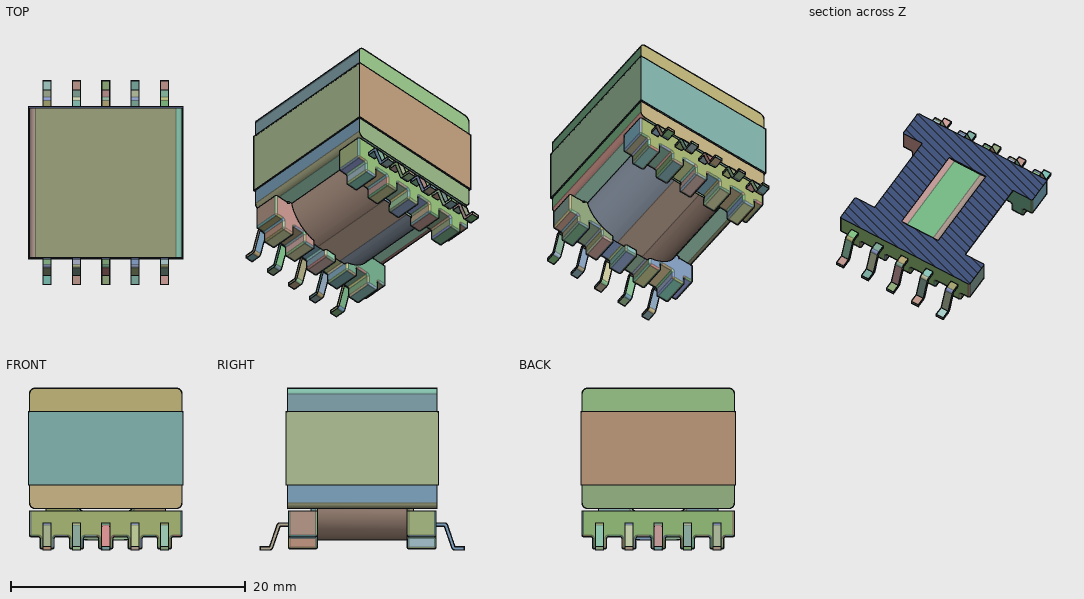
import cadquery as cq
import math

TOTAL_HEIGHT = 13.81
CORE_BOTTOM = 3.53
CORE_WIDTH = 13.0
CORE_DEPTH = 12.75
CORE_EDGE_RADIUS = 0.5
TAPE_WIDTH = 13.2
TAPE_DEPTH = 13.0
TAPE_HEIGHT = 6.25

CORE_HEIGHT = TOTAL_HEIGHT - CORE_BOTTOM
CORE_CENTRE_Z = CORE_BOTTOM + CORE_HEIGHT / 2

RAIL_LENGTH = 13.0
RAIL_INNER_Y = 3.83
RAIL_OUTER_Y = 6.3
RAIL_TOP = 3.34
RAIL_BOTTOM = 1.13
FOOT_BOTTOM = 0.1
FOOT_WIDTH = 1.2
EDGE_RADIUS = 0.15
PIN_COUNT = 5
PIN_PITCH = 2.5
PIN_POSITIONS = [(i - (PIN_COUNT - 1) / 2) * PIN_PITCH for i in range(PIN_COUNT)]

COIL_CENTRE_Z = 4.3
COIL_RADIUS = 3.45
COIL_STRAIGHT = 2.6
BORE_RADIUS = 1.2
BORE_RIM_RADIUS = 0.2
FLANGE_WIDTH = 10.2
FLANGE_OUTER_Y = 4.37
FLANGE_THICKNESS = FLANGE_OUTER_Y - RAIL_INNER_Y
FLANGE_BOTTOM = 2.0

SPAN_Y = 17.39
LEAD_WIDTH = 0.7
LEAD_THICKNESS = 0.3
LEAD_TOP = 2.33
LEAD_SLOPE = 71
LEAD_TOE_LENGTH = 0.79
LEAD_BEND_RADIUS = 0.3
LEAD_HEEL_RADIUS = 0.3
LEAD_ROOT_DEPTH = 0.5


def make_core():
    """Core block with its long edges rounded, and the tape band around its middle."""
    block = (
        cq.Workplane("XY")
        .box(CORE_WIDTH, CORE_DEPTH, CORE_HEIGHT)
        .edges("|Y")
        .fillet(CORE_EDGE_RADIUS)
    )
    tape = cq.Workplane("XY").box(TAPE_WIDTH, TAPE_DEPTH, TAPE_HEIGHT)
    return block.union(tape).translate((0, 0, CORE_CENTRE_Z))


def make_rail():
    """Rail on the -Y side, with every edge rounded except around its top face."""
    half = RAIL_LENGTH / 2
    outline = [(-half, RAIL_TOP), (-half, RAIL_BOTTOM)]
    for x in PIN_POSITIONS:
        left = x - FOOT_WIDTH / 2
        right = x + FOOT_WIDTH / 2
        outline += [(left, RAIL_BOTTOM), (left, FOOT_BOTTOM)]
        outline += [(right, FOOT_BOTTOM), (right, RAIL_BOTTOM)]
    outline += [(half, RAIL_BOTTOM), (half, RAIL_TOP)]
    rail = cq.Workplane("XZ", origin=(0, -RAIL_INNER_Y, 0)).polyline(outline).close()
    rail = rail.extrude(RAIL_OUTER_Y - RAIL_INNER_Y)
    rail = rail.edges("|Y").edges("not >Z").fillet(EDGE_RADIUS)
    return rail.faces("<Y or >Y").edges("not >Z").fillet(EDGE_RADIUS)


def rounded_bar(radius, length):
    """Bar along Y with a flat top and bottom and round sides, centred on the coil axis."""
    return (
        cq.Workplane("XZ", origin=(0, length / 2, COIL_CENTRE_Z))
        .slot2D(COIL_STRAIGHT + 2 * radius, 2 * radius)
        .extrude(length)
    )


def below_core(shape):
    """The part of a shape that lies under the core."""
    clearance = cq.Workplane("XY", origin=(0, 0, CORE_BOTTOM)).rect(SPAN_Y, SPAN_Y).extrude(TOTAL_HEIGHT)
    return shape.cut(clearance)


def make_coil():
    """Hollow coil between the rails; each end reaches halfway into its flange."""
    length = 2 * RAIL_INNER_Y + FLANGE_THICKNESS
    coil = rounded_bar(COIL_RADIUS, length).cut(rounded_bar(BORE_RADIUS, length))
    return below_core(coil)


def make_flange():
    """Flange plate on the -Y side, with the bore flaring out at its outer face."""
    flange_top = 2 * COIL_CENTRE_Z - FLANGE_BOTTOM
    plate = (
        cq.Workplane("XY", origin=(0, -(RAIL_INNER_Y + FLANGE_OUTER_Y) / 2, FLANGE_BOTTOM))
        .rect(FLANGE_WIDTH, FLANGE_THICKNESS)
        .extrude(flange_top - FLANGE_BOTTOM)
        .edges("|Z and >Y")
        .fillet(EDGE_RADIUS)
        .cut(rounded_bar(BORE_RADIUS, SPAN_Y))
    )
    rim = plate.faces("<Y").wires(cq.selectors.LengthNthSelector(0))
    plate = plate.newObject(rim.val().Edges()).fillet(BORE_RIM_RADIUS)
    return below_core(plate)


def make_lead(x):
    """Lead on the -Y side: held in the rail, sloping down and out to a flat toe."""
    slope = math.radians(LEAD_SLOPE)
    corner_shift = LEAD_THICKNESS * math.tan(slope / 2)
    tip = SPAN_Y / 2
    root = RAIL_OUTER_Y - LEAD_ROOT_DEPTH
    toe_corner = tip - LEAD_TOE_LENGTH
    bend_corner = toe_corner - (LEAD_TOP - LEAD_THICKNESS) / math.tan(slope)
    outline = [
        (-root, LEAD_TOP),
        (-bend_corner, LEAD_TOP),
        (-toe_corner, LEAD_THICKNESS),
        (-tip, LEAD_THICKNESS),
        (-tip, 0),
        (-toe_corner + corner_shift, 0),
        (-bend_corner + corner_shift, LEAD_TOP - LEAD_THICKNESS),
        (-root, LEAD_TOP - LEAD_THICKNESS),
    ]
    lead = cq.Workplane("YZ").polyline(outline).close().extrude(LEAD_WIDTH / 2, both=True)

    def edge_at(y, z):
        return cq.selectors.NearestToPointSelector((0, y, z))

    lead = lead.edges(edge_at(-bend_corner, LEAD_TOP)).fillet(LEAD_BEND_RADIUS)
    lead = lead.edges(edge_at(-toe_corner + corner_shift, 0)).fillet(LEAD_HEEL_RADIUS)
    return lead.translate((x, 0, 0))


def make_bobbin():
    """Coil with a rail, a flange and a row of leads at each end, all one body."""
    side = make_rail().union(make_flange())
    for x in PIN_POSITIONS:
        side = side.union(make_lead(x))
    return make_coil().union(side).union(side.mirror("XZ"))


core = make_core()
bobbin = make_bobbin()

result = cq.Compound.makeCompound([core.val(), bobbin.val()])